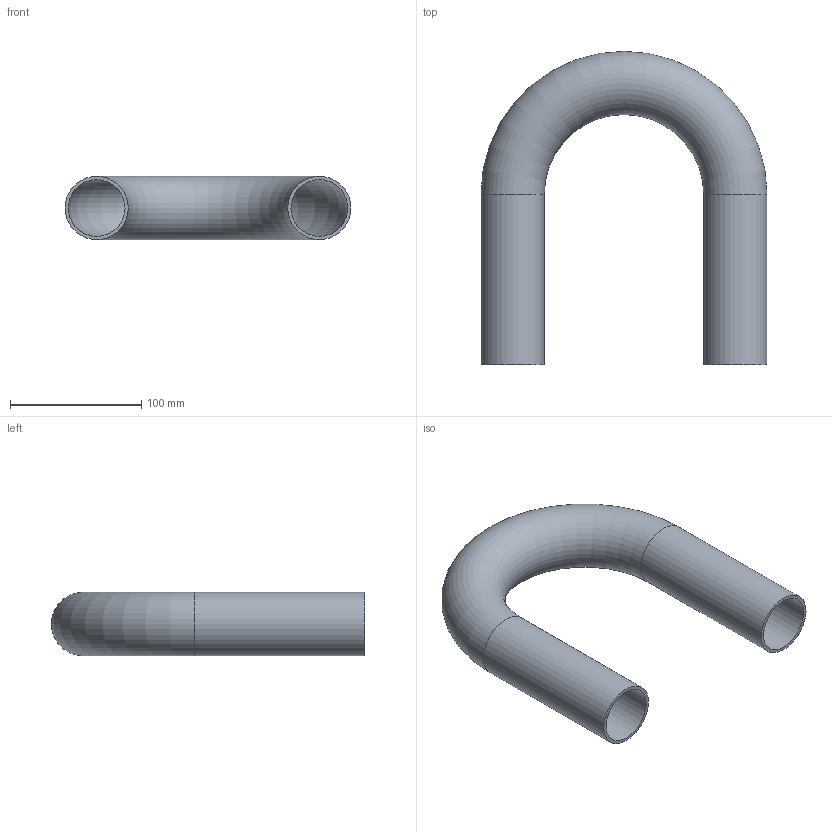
import cadquery as cq

outer_diameter = 48.3
wall_thickness = 2.5
inner_diameter = outer_diameter - 2 * wall_thickness

bend_radius = 85.0
leg_length = 130.0


def centreline():
    """Left leg, half-circle bend and right leg, centred on the bend axis."""
    return (
        cq.Workplane("XY")
        .moveTo(-bend_radius, -leg_length)
        .lineTo(-bend_radius, 0)
        .threePointArc((0, bend_radius), (bend_radius, 0))
        .lineTo(bend_radius, -leg_length)
    )


def bent_tube():
    """Ring section swept from the open end of the left leg along the centreline."""
    return (
        cq.Workplane("XZ", origin=(-bend_radius, -leg_length, 0))
        .circle(outer_diameter / 2)
        .circle(inner_diameter / 2)
        .sweep(centreline())
    )


result = bent_tube()